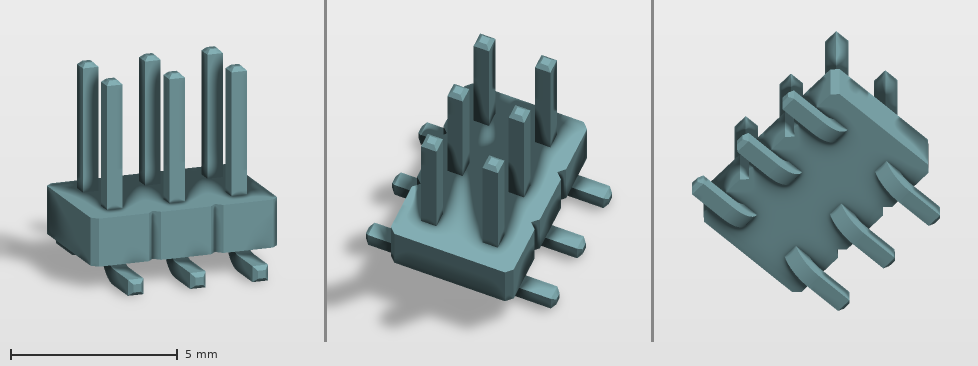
import cadquery as cq

pitch = 2.0
row_count = 3
column_offset = pitch / 2
row_positions = [(row - (row_count - 1) / 2) * pitch for row in range(row_count)]

body_width = 2 * pitch
body_bottom = 0.7
body_height = 1.5
corner_chamfer = 0.2

pin_width = 0.5
pin_top = 6.2
foot_reach = 3.1
bend_inner_radius = 0.5
bend_radius = bend_inner_radius + pin_width / 2
tip_chamfer = pin_width / 4


def make_body():
    """One chamfered block per pin row, joined along Y."""
    body = cq.Workplane("XY")
    row_block = (
        cq.Workplane("XY")
        .box(body_width, pitch, body_height, centered=(True, True, False))
        .edges("|Z")
        .chamfer(corner_chamfer)
    )
    for y in row_positions:
        body = body.union(row_block.translate((0, y, body_bottom)))
    return body


def make_pin():
    """Pin of the +X column at Y = 0: foot, quarter bend and upright post."""
    foot_z = pin_width / 2
    centreline = (
        cq.Workplane("XZ")
        .moveTo(foot_reach, foot_z)
        .lineTo(column_offset + bend_radius, foot_z)
        .radiusArc((column_offset, foot_z + bend_radius), bend_radius)
        .lineTo(column_offset, pin_top)
    )
    foot_plane = cq.Plane(origin=(foot_reach, 0, foot_z), xDir=(0, 1, 0), normal=(1, 0, 0))
    shaft = cq.Workplane(foot_plane).rect(pin_width, pin_width).sweep(centreline)
    for tip_face in (">Z", ">X"):
        shaft = shaft.faces(tip_face).edges().chamfer(tip_chamfer)
    return shaft


result = make_body()
right_pin = make_pin()
left_pin = right_pin.mirror("YZ")
for y in row_positions:
    for pin in (left_pin, right_pin):
        result = result.union(pin.translate((0, y, 0)))